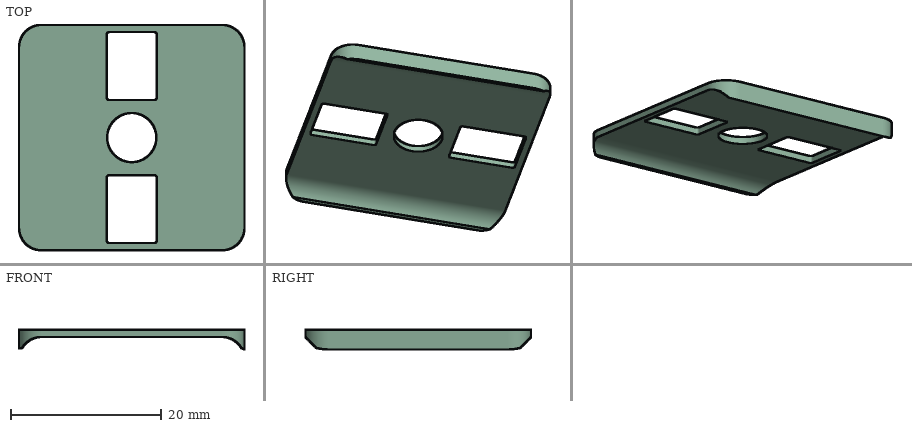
import cadquery as cq
import math

side = 30.0
half_side = side / 2
corner_radius = 3.0
plate_thickness = 1.0

height = 2.65
left_lip_height = 2.52
lip_edge_width = 0.42

hole_diameter = 6.5
window_width = 6.6
window_length = 9.0
window_corner_radius = 0.3
window_offset = 9.5


def rounded_block():
    """Square block with rounded vertical edges, its top face at Z = 0."""
    block = cq.Workplane("XY").rect(side, side).extrude(-height)
    return block.edges("|Z").fillet(corner_radius)


def hollow():
    """Underside channel along Y, blended into both lips by quarter-round flanks cut off at the lip edges."""
    arc_centre_x = half_side - corner_radius
    arc_centre_z = -plate_thickness - corner_radius
    edge_x = half_side - lip_edge_width
    edge_z = arc_centre_z + math.sqrt(corner_radius**2 - (edge_x - arc_centre_x) ** 2)
    mid_angle = (math.pi / 2 + math.asin((edge_z - arc_centre_z) / corner_radius)) / 2
    mid_x = arc_centre_x + corner_radius * math.cos(mid_angle)
    mid_z = arc_centre_z + corner_radius * math.sin(mid_angle)
    return (
        cq.Workplane("XZ")
        .moveTo(-half_side, -height)
        .lineTo(-half_side, -left_lip_height)
        .lineTo(-edge_x, edge_z)
        .threePointArc((-mid_x, mid_z), (-arc_centre_x, -plate_thickness))
        .lineTo(arc_centre_x, -plate_thickness)
        .threePointArc((mid_x, mid_z), (edge_x, edge_z))
        .lineTo(half_side, -height)
        .close()
        .extrude(half_side, both=True)
    )


def window(end):
    """Rectangular through opening on one side of the centre hole."""
    cutter = (
        cq.Workplane("XY")
        .center(0, end * window_offset)
        .rect(window_width, window_length)
        .extrude(-height)
    )
    return cutter.edges("|Z").fillet(window_corner_radius)


centre_hole = cq.Workplane("XY").circle(hole_diameter / 2).extrude(-height)

result = rounded_block().cut(hollow()).cut(centre_hole)
for end in (-1, 1):
    result = result.cut(window(end))